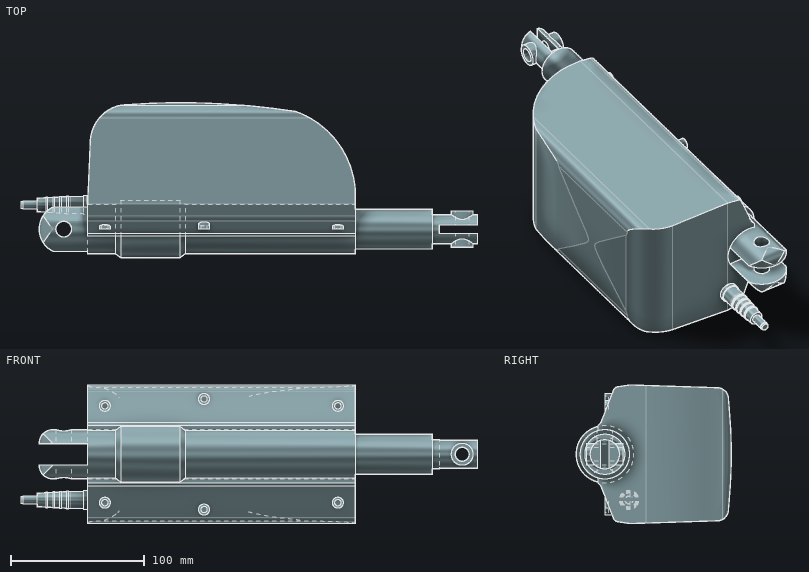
import cadquery as cq


HOUSING_LENGTH = 200.0
SEAM_Y = 18.8
SEAM_HALF_WIDTH = 52.0
COVER_TOP_Y = 94.5
COVER_EDGE_Y = 83.0
COVER_EDGE_HALF_WIDTH = 49.8
COVER_EDGE_MIDDLE_Y = 90.0
COVER_EDGE_MIDDLE_HALF_WIDTH = 47.0
COVER_CROWN_Y = 92.5
COVER_CROWN_HALF_WIDTH = 40.2
BASE_EDGE_MIDDLE_Y = 7.5
BASE_EDGE_MIDDLE_HALF_WIDTH = 49.5
BASE_EDGE_Y = 10.0
BASE_EDGE_HALF_WIDTH = 50.5
SLOPE_TOP_Y = 6.0
SLOPE_TOP_HALF_WIDTH = 47.0
SLOPE_LOW_Y = -3.0
SLOPE_LOW_HALF_WIDTH = 23.5
LEDGE_Y = -5.0
LEDGE_HALF_WIDTH = 21.5

COVER_REAR_TOP = (2.0, 67.0)
COVER_REAR_CORNER = (9.2, 83.5)
COVER_ROOF_START = (25.5, 92.8)
COVER_ROOF_PEAK = (65.5, COVER_TOP_Y)
COVER_ROOF_END = (155.0, 88.0)
COVER_NOSE = (186.5, 65.0)

BARREL_RADIUS = 18.5
COLLAR_RADIUS = 21.5
COLLAR_START = 20.8
COLLAR_LENGTH = 52.2
COLLAR_CHAMFER_LENGTH = 4.0
CLEVIS_LENGTH = 36.0
CLEVIS_SLOT_WIDTH = 15.7
CLEVIS_TIP_ROUND = 10.2
CLEVIS_HOLE_RADIUS = 5.8
CLEVIS_HOLE_X = BARREL_RADIUS - CLEVIS_LENGTH

BOSS_RADIUS = 4.0
BOSS_BORE_RADIUS = 2.5
BOSS_BORE_DEPTH = 2.7
BOSS_END_Y = 0.0
BOSS_PLACES = [(13.0, 36.0), (87.0, 41.3), (187.0, 36.0)]

CABLE_Y = 18.0
CABLE_Z = -34.0
CABLE_END_X = -49.8
CABLE_RADIUS = 3.0
CABLE_CORE_RADIUS = 2.7
CABLE_CORE_LENGTH = 1.7
GLAND_FLANGE_RADIUS = 7.0
GLAND_FLANGE_LENGTH = 3.0
GLAND_SLEEVE_RADIUS = 6.5
GLAND_SLEEVE_END_X = -12.5
GLAND_TAPER_END_X = -37.5
GLAND_TAPER_END_RADIUS = 5.0
RIB_COUNT = 4
RIB_FIRST_X = -15.0
RIB_PITCH = 5.0
RIB_WIDTH = 1.5
RIB_HEIGHT = 0.5

TUBE_RADIUS = 15.0
TUBE_END_X = 257.5
HEAD_RADIUS = 11.0
HEAD_END_X = 291.2
HEAD_SLOT_START_X = 262.5
HEAD_SLOT_WIDTH = 6.0
EYE_X = 279.5
EYE_RADIUS = 8.2
EYE_HALF_WIDTH = 13.5
EYE_HOLE_RADIUS = 5.0


def x_cylinder(radius, start, end, y=0, z=0):
    return cq.Workplane("YZ", origin=(start, y, z)).circle(radius).extrude(end - start)


def y_cylinder(radius, x, z, start, end):
    return cq.Workplane("XZ", origin=(x, start, z)).circle(radius).extrude(start - end)


def case_body():
    """Motor case: its cross-section limited by the curved side outline of the cover."""
    section = (
        cq.Workplane("YZ")
        .moveTo(LEDGE_Y, -LEDGE_HALF_WIDTH)
        .lineTo(SLOPE_LOW_Y, -SLOPE_LOW_HALF_WIDTH)
        .lineTo(SLOPE_TOP_Y, -SLOPE_TOP_HALF_WIDTH)
        .threePointArc(
            (BASE_EDGE_MIDDLE_Y, -BASE_EDGE_MIDDLE_HALF_WIDTH),
            (BASE_EDGE_Y, -BASE_EDGE_HALF_WIDTH),
        )
        .lineTo(SEAM_Y, -SEAM_HALF_WIDTH)
        .lineTo(COVER_EDGE_Y, -COVER_EDGE_HALF_WIDTH)
        .threePointArc(
            (COVER_EDGE_MIDDLE_Y, -COVER_EDGE_MIDDLE_HALF_WIDTH),
            (COVER_CROWN_Y, -COVER_CROWN_HALF_WIDTH),
        )
        .threePointArc((COVER_TOP_Y, 0), (COVER_CROWN_Y, COVER_CROWN_HALF_WIDTH))
        .threePointArc(
            (COVER_EDGE_MIDDLE_Y, COVER_EDGE_MIDDLE_HALF_WIDTH),
            (COVER_EDGE_Y, COVER_EDGE_HALF_WIDTH),
        )
        .lineTo(SEAM_Y, SEAM_HALF_WIDTH)
        .lineTo(BASE_EDGE_Y, BASE_EDGE_HALF_WIDTH)
        .threePointArc(
            (BASE_EDGE_MIDDLE_Y, BASE_EDGE_MIDDLE_HALF_WIDTH),
            (SLOPE_TOP_Y, SLOPE_TOP_HALF_WIDTH),
        )
        .lineTo(SLOPE_LOW_Y, SLOPE_LOW_HALF_WIDTH)
        .lineTo(LEDGE_Y, LEDGE_HALF_WIDTH)
        .close()
        .extrude(HOUSING_LENGTH)
    )
    outline = (
        cq.Workplane("XY")
        .moveTo(0, LEDGE_Y)
        .lineTo(0, SEAM_Y)
        .lineTo(*COVER_REAR_TOP)
        .threePointArc(COVER_REAR_CORNER, COVER_ROOF_START)
        .threePointArc(COVER_ROOF_PEAK, COVER_ROOF_END)
        .threePointArc(COVER_NOSE, (HOUSING_LENGTH, SEAM_Y))
        .lineTo(HOUSING_LENGTH, LEDGE_Y)
        .close()
        .extrude(SEAM_HALF_WIDTH, both=True)
    )
    return section.intersect(outline)


def collar():
    """Wider sleeve on the barrel, tapering to the barrel at both ends."""
    end = COLLAR_START + COLLAR_LENGTH
    return (
        cq.Workplane("XY")
        .moveTo(COLLAR_START, 0)
        .lineTo(COLLAR_START, BARREL_RADIUS)
        .lineTo(COLLAR_START + COLLAR_CHAMFER_LENGTH, COLLAR_RADIUS)
        .lineTo(end - COLLAR_CHAMFER_LENGTH, COLLAR_RADIUS)
        .lineTo(end, BARREL_RADIUS)
        .lineTo(end, 0)
        .close()
        .revolve(360, (0, 0, 0), (1, 0, 0))
    )


def clevis():
    """Forked barrel end, rounded about the pin hole and across both finger tips."""
    size = 2 * BARREL_RADIUS
    bar = x_cylinder(BARREL_RADIUS, -CLEVIS_LENGTH, 0)
    finger_root = cq.Workplane("XY").box(-CLEVIS_HOLE_X, size, size)
    finger_root = finger_root.translate((CLEVIS_HOLE_X / 2, 0, 0))
    finger_plan = (
        cq.Workplane("XY", origin=(CLEVIS_HOLE_X, 0, 0))
        .circle(BARREL_RADIUS)
        .extrude(BARREL_RADIUS, both=True)
        .union(finger_root)
    )
    tip_rounding = (
        cq.Workplane("XY")
        .box(CLEVIS_LENGTH, size, size)
        .edges("|Y and <X")
        .fillet(CLEVIS_TIP_ROUND)
        .translate((-CLEVIS_LENGTH / 2, 0, 0))
    )
    slot = cq.Workplane("XY").box(2 * CLEVIS_LENGTH, 2 * size, CLEVIS_SLOT_WIDTH)
    slot = slot.translate((-CLEVIS_LENGTH, 0, 0))
    pin_hole = (
        cq.Workplane("XY", origin=(CLEVIS_HOLE_X, 0, 0))
        .circle(CLEVIS_HOLE_RADIUS)
        .extrude(BARREL_RADIUS, both=True)
    )
    return bar.intersect(finger_plan).intersect(tip_rounding).cut(slot).cut(pin_hole)


def cable():
    """Cable with a flanged, tapered and ribbed strain relief, standing on the housing end face."""
    stem = (
        cq.Workplane("XY", origin=(0, CABLE_Y, CABLE_Z))
        .moveTo(0, 0)
        .lineTo(0, GLAND_FLANGE_RADIUS)
        .lineTo(-GLAND_FLANGE_LENGTH, GLAND_FLANGE_RADIUS)
        .lineTo(-GLAND_FLANGE_LENGTH, GLAND_SLEEVE_RADIUS)
        .lineTo(GLAND_SLEEVE_END_X, GLAND_SLEEVE_RADIUS)
        .lineTo(GLAND_TAPER_END_X, GLAND_TAPER_END_RADIUS)
        .lineTo(GLAND_TAPER_END_X, CABLE_RADIUS)
        .lineTo(CABLE_END_X + CABLE_CORE_LENGTH, CABLE_RADIUS)
        .lineTo(CABLE_END_X + CABLE_CORE_LENGTH, CABLE_CORE_RADIUS)
        .lineTo(CABLE_END_X, CABLE_CORE_RADIUS)
        .lineTo(CABLE_END_X, 0)
        .close()
        .revolve(360, (0, 0, 0), (1, 0, 0))
    )
    taper_length = GLAND_SLEEVE_END_X - GLAND_TAPER_END_X
    taper_slope = (GLAND_SLEEVE_RADIUS - GLAND_TAPER_END_RADIUS) / taper_length
    for i in range(RIB_COUNT):
        rib_x = RIB_FIRST_X - i * RIB_PITCH
        rib_radius = GLAND_SLEEVE_RADIUS + taper_slope * (rib_x - GLAND_SLEEVE_END_X) + RIB_HEIGHT
        stem = stem.union(
            x_cylinder(rib_radius, rib_x - RIB_WIDTH / 2, rib_x + RIB_WIDTH / 2, CABLE_Y, CABLE_Z)
        )
    return stem


def build_housing(actuator):
    """Motor case with the cable and screw bosses, recessed to receive the actuator."""
    housing = case_body().union(cable())
    for side in (-1, 1):
        for x, offset in BOSS_PLACES:
            z = side * offset
            bore_end = BOSS_END_Y + BOSS_BORE_DEPTH
            housing = housing.union(y_cylinder(BOSS_RADIUS, x, z, BOSS_END_Y, SEAM_Y))
            housing = housing.cut(y_cylinder(BOSS_BORE_RADIUS, x, z, BOSS_END_Y, bore_end))
    return housing.cut(actuator)


def rod():
    """Tube with a slotted head and a raised eye on both sides."""
    tube = x_cylinder(TUBE_RADIUS, HOUSING_LENGTH, TUBE_END_X)
    head = x_cylinder(HEAD_RADIUS, TUBE_END_X, HEAD_END_X)
    eye = y_cylinder(EYE_RADIUS, EYE_X, 0, -EYE_HALF_WIDTH, EYE_HALF_WIDTH)
    slot_length = HEAD_END_X - HEAD_SLOT_START_X
    slot = cq.Workplane("XY").box(slot_length, HEAD_SLOT_WIDTH, 2 * HEAD_RADIUS)
    slot = slot.translate((HEAD_SLOT_START_X + slot_length / 2, 0, 0))
    eye_hole = y_cylinder(EYE_HOLE_RADIUS, EYE_X, 0, -EYE_HALF_WIDTH, EYE_HALF_WIDTH)
    return tube.union(head).union(eye).cut(slot).cut(eye_hole)


def build_actuator():
    """Rear clevis, barrel with its collar, and rod, all in line on the X axis."""
    barrel = x_cylinder(BARREL_RADIUS, 0, HOUSING_LENGTH)
    return barrel.union(collar()).union(clevis()).union(rod())


actuator = build_actuator()
housing = build_housing(actuator)
result = cq.Compound.makeCompound([housing.solids().val(), actuator.solids().val()])